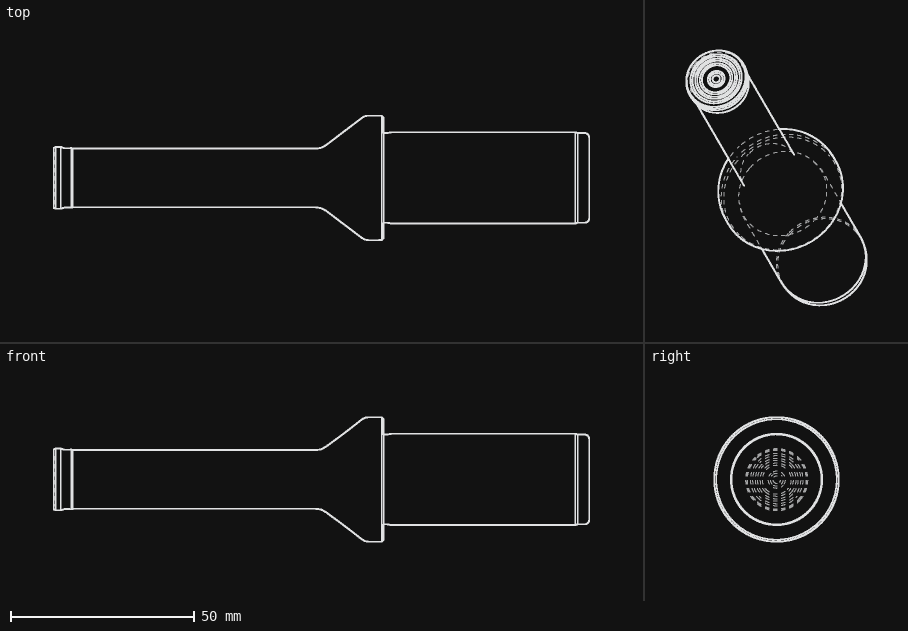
import cadquery as cq

TOTAL_LENGTH = 146.0

HEAD_LENGTH = 5.3
HEAD_FACE_RADIUS = 8.2
HEAD_RIM_RADIUS = 8.5
HEAD_NECK_RADIUS = 8.2
RIM_START = 0.6
RIM_END = 1.9
NECK_START = 2.8
NECK_BAND_START = 3.0
NECK_BAND_END = 4.1
NECK_END = 4.8
NECK_BAND_DEPTH = 0.07

FACE_STEP = 0.1
DISH_FLOOR_RADIUS = 2.6
DISH_RIM_RADIUS = 3.2
DIMPLE_RADIUS = 1.0
DISH_GROOVE_RADIUS = 1.8
FACE_GROOVE_WIDTH = 0.6
OUTER_GROOVE_RADIUS = 4.0
OUTER_GROOVE_PITCH = 1.3
OUTER_GROOVE_COUNT = 3

STEM_RADIUS = 16.0 / 2
COLLAR_RADIUS = 34.0 / 2
CONE_START = 73.0
CONE_END = 84.8
CONE_ROOT_FILLET = 4.8
CONE_CREST_FILLET = 3.0
COLLAR_END = 90.0
COLLAR_CHAMFER = 0.6

SHANK_RADIUS = 25.0 / 2
RELIEF_RADIUS = 24.5 / 2
FRONT_RELIEF_END = 90.8
FRONT_TAPER_END = 92.1
REAR_TAPER_START = 142.2
REAR_RELIEF_START = 142.8
SHANK_END_FILLET = 1.3


def revolve_about_x(profile):
    """Solid of revolution from (x, radius) points; both ends close on the axis."""
    points = [(profile[0][0], 0), *profile, (profile[-1][0], 0)]
    return cq.Workplane("XY").polyline(points).close().revolve(360, (0, 0, 0), (1, 0, 0))


def circle_at(x):
    """Selector for the circular edge centred on the axis at x."""
    return cq.selectors.NearestToPointSelector((x, 0, 0))


def face_groove(inner_radius, top):
    """Ring to remove from the face of the head, starting at X = top."""
    outer_radius = inner_radius + FACE_GROOVE_WIDTH
    plane = cq.Workplane("YZ", origin=(top, 0, 0))
    return plane.circle(outer_radius).circle(inner_radius).extrude(FACE_STEP)


def cut_face_details(head):
    dish = revolve_about_x([(0, DISH_RIM_RADIUS), (FACE_STEP, DISH_FLOOR_RADIUS)])
    dimple = cq.Workplane("YZ", origin=(FACE_STEP, 0, 0)).circle(DIMPLE_RADIUS).extrude(FACE_STEP)
    head = head.cut(dish).cut(dimple).cut(face_groove(DISH_GROOVE_RADIUS, FACE_STEP))
    for index in range(OUTER_GROOVE_COUNT):
        head = head.cut(face_groove(OUTER_GROOVE_RADIUS + index * OUTER_GROOVE_PITCH, 0))
    return head


def make_head():
    band_radius = HEAD_NECK_RADIUS - NECK_BAND_DEPTH
    head = revolve_about_x([
        (0, HEAD_FACE_RADIUS),
        (RIM_START, HEAD_RIM_RADIUS),
        (RIM_END, HEAD_RIM_RADIUS),
        (NECK_START, HEAD_NECK_RADIUS),
        (NECK_BAND_START, band_radius),
        (NECK_BAND_END, band_radius),
        (NECK_END, HEAD_NECK_RADIUS),
        (HEAD_LENGTH, STEM_RADIUS),
    ])
    return cut_face_details(head)


def make_holder():
    holder = revolve_about_x([
        (HEAD_LENGTH, STEM_RADIUS),
        (CONE_START, STEM_RADIUS),
        (CONE_END, COLLAR_RADIUS),
        (COLLAR_END - COLLAR_CHAMFER, COLLAR_RADIUS),
        (COLLAR_END, COLLAR_RADIUS - COLLAR_CHAMFER),
        (COLLAR_END, RELIEF_RADIUS),
        (FRONT_RELIEF_END, RELIEF_RADIUS),
        (FRONT_TAPER_END, SHANK_RADIUS),
        (REAR_TAPER_START, SHANK_RADIUS),
        (REAR_RELIEF_START, RELIEF_RADIUS),
        (TOTAL_LENGTH, RELIEF_RADIUS),
    ])
    holder = holder.edges(circle_at(CONE_START)).fillet(CONE_ROOT_FILLET)
    holder = holder.edges(circle_at(CONE_END)).fillet(CONE_CREST_FILLET)
    return holder.edges(circle_at(TOTAL_LENGTH)).fillet(SHANK_END_FILLET)


head = make_head()
holder = make_holder()

result = cq.Compound.makeCompound([head.val(), holder.val()])